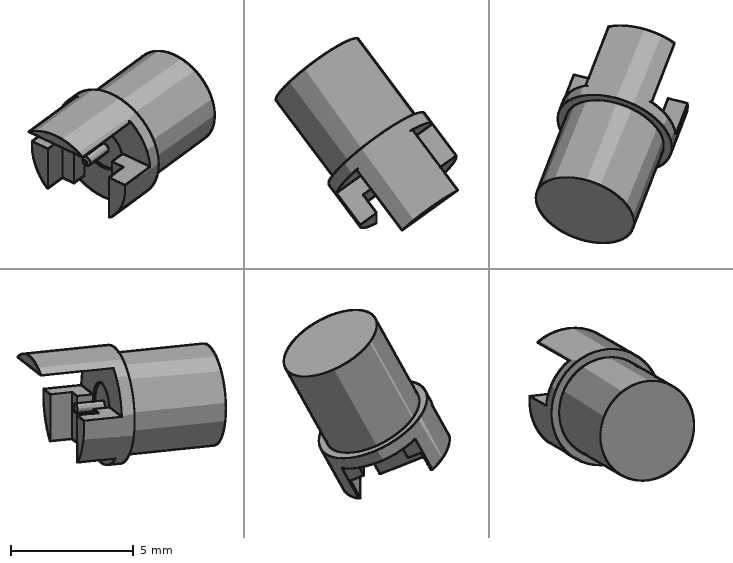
import cadquery as cq

total_length = 7.8
flange_diameter = 4.9
flange_thickness = 0.55
barrel_diameter = 4.21
barrel_length = 4.1
tongue_length = total_length - barrel_length - flange_thickness
tongue_underside_z = 2.0

leg_top_z = 0.2
leg_bottom_z = -1.8
leg_length = 1.645
leg_inner_x = 1.6
step_inner_x = 1.0
step_length = 0.7

bore_diameter = 1.92
insulator_diameter = 1.89
insulator_setback = 0.08
gap_depth = 0.08

pin_diameter = 0.405
pin_length = 1.22
pin_chamfer = 0.09

flange_radius = flange_diameter / 2


def cylinder(diameter, start_y, length):
    """Cylinder on the Y axis, running from start_y toward -Y."""
    return cq.Workplane("XZ", origin=(0, start_y, 0)).circle(diameter / 2).extrude(length)


def block(x_min, x_max, z_min, z_max, length):
    """Rectangular block standing on the flange face at Y = 0, toward -Y."""
    return (
        cq.Workplane("XZ")
        .center((x_min + x_max) / 2, (z_min + z_max) / 2)
        .rect(x_max - x_min, z_max - z_min)
        .extrude(length)
    )


def make_body():
    barrel = cylinder(barrel_diameter, flange_thickness + barrel_length, barrel_length)
    return barrel.union(cylinder(flange_diameter, flange_thickness, flange_thickness))


def make_projections():
    """Tongue and legs, trimmed to the round outline of the flange."""
    tongue = block(-flange_radius, flange_radius, tongue_underside_z, flange_radius, tongue_length)
    leg = block(leg_inner_x, flange_radius, leg_bottom_z, leg_top_z, leg_length)
    step = block(step_inner_x, leg_inner_x, leg_bottom_z, leg_top_z, step_length)
    right_leg = leg.union(step)
    projections = tongue.union(right_leg).union(right_leg.mirror("YZ"))
    return projections.intersect(cylinder(flange_diameter, 0, tongue_length))


def make_recess():
    """Empty space in the bore: the setback, and the ring-shaped gap behind it."""
    depth = insulator_setback + gap_depth
    insulator = cylinder(insulator_diameter, depth, gap_depth)
    return cylinder(bore_diameter, depth, depth).cut(insulator)


def make_pin():
    pin = cylinder(pin_diameter, flange_thickness, flange_thickness + pin_length)
    return pin.faces("<Y").chamfer(pin_chamfer)


result = make_body().union(make_projections()).cut(make_recess()).union(make_pin())